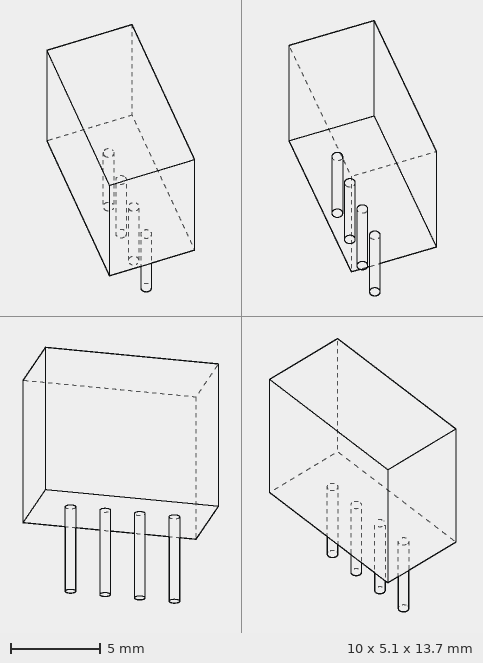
import cadquery as cq

housing_length = 10.0
housing_width = 5.1
total_height = 13.7
housing_height = 8.6

pin_count = 4
pin_pitch = 2.0
pin_diameter = 0.6
pin_row_offset = 0.4
pin_length = total_height - housing_height


def make_housing():
    """Plain rectangular block, centred on Z, with its underside at Z = 0."""
    return cq.Workplane("XY").box(
        housing_length, housing_width, housing_height, centered=(True, True, False)
    )


def make_pin(x):
    """Round pin hanging from the underside of the housing."""
    return (
        cq.Workplane("XY")
        .center(x, pin_row_offset)
        .circle(pin_diameter / 2)
        .extrude(-pin_length)
    )


housing = make_housing()

first_pin_x = -pin_pitch * (pin_count - 1) / 2
pins = [make_pin(first_pin_x + index * pin_pitch) for index in range(pin_count)]

result = cq.Compound.makeCompound([housing.val(), *[pin.val() for pin in pins]])